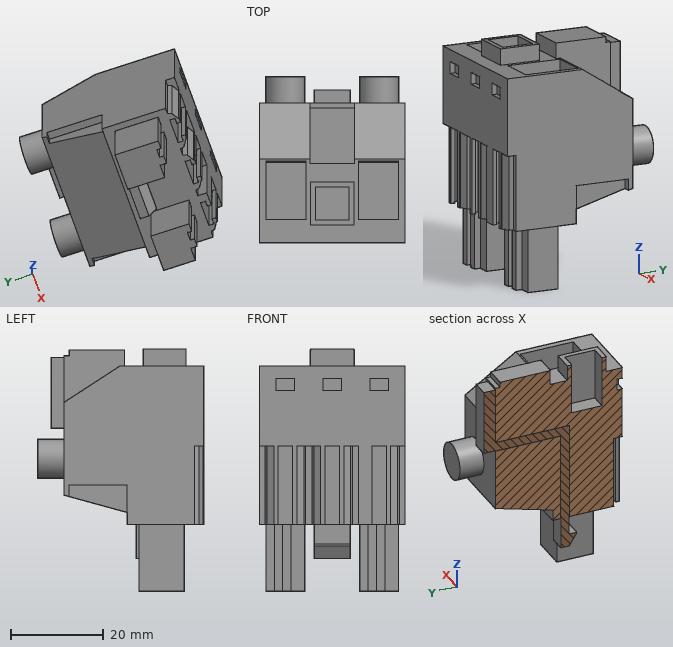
import cadquery as cq


PITCH = 10.16
SIDE_POLES = (-PITCH, PITCH)
ALL_POLES = (-PITCH, 0, PITCH)

WIDTH = 31.58
DEPTH = 30.3
HEIGHT = 34.38
TOP_SLOPE_START_Y = 18.1
TOP_SLOPE_END_Z = 26.45
FOOT_DEPTH = 16.6
REAR_SLOPE_LOW_Z = 2.6
REAR_SLOPE_HIGH_Z = 6.35

RECESS_WIDTH = 1.65
RECESS_TOP_Z = 8.56
LIP_THICKNESS = 1.1
RECESS_BACK_Y = DEPTH - LIP_THICKNESS

HEAD_WIDTH = 9.7
HEAD_FRONT_Y = 17.15
HEAD_BOTTOM_Z = 20.0
HEAD_TOP_Z = 37.85
HEAD_STEP_Z = 36.6

COLLAR_SIZE = 9.36
COLLAR_WALL = 1.1
COLLAR_CENTER_Y = 8.5
TOTAL_HEIGHT = 52.5
PRONG_LENGTH = 14.47
COLLAR_TOP_Z = TOTAL_HEIGHT - PRONG_LENGTH
COLLAR_HOLE_DEPTH = 12.0

POCKET_WIDTH = 8.7
POCKET_CENTER_X = 10.04
POCKET_FRONT_Y = 5.1
POCKET_BACK_Y = 17.68
POCKET_DRAFT = 0.25
POCKET_DEPTH = 15.0

WINDOW_WIDTH = 4.0
WINDOW_BOTTOM_Z = 29.05
WINDOW_HEIGHT = 2.6
WINDOW_DEPTH = 1.2

GROOVE_TOP_Z = 17.0
SLOT_WIDTH = 3.1
SLOT_LIP_DEPTH = 0.9
SLOT_INNER_WIDTH = 5.5
GROOVE_EDGE = 2.5
GROOVE_KNEE = 4.0
GROOVE_FLOOR = 4.37
GROOVE_EDGE_DEPTH = 0.2
GROOVE_KNEE_DEPTH = 1.1
GROOVE_DEPTH = 2.05
KEY_SIDE_X = 5.64

PRONG_WIDTH = 8.45
PRONG_FRONT_Y = 4.2
LEFT_PRONG_BACK_Y = 14.1
RIGHT_PRONG_BACK_Y = 12.9
FIN_WIDTH = 1.83
FIN_DEPTH = 0.95
PRONG_STEP_DEPTH = 1.45

SCREW_DIAMETER = 8.5
SCREW_Z = 14.27
SCREW_END_Y = 36.0

LATCH_WIDTH = 7.9
LATCH_BACK_Y = 14.65
LATCH_THICKNESS = 2.0
HOOK_LEDGE_Z = -4.24
HOOK_NOSE_Z = -4.6
HOOK_BOTTOM_Z = -7.35
HOOK_REACH = 1.75
BUTTON_BOTTOM_Z = 20.85
BUTTON_TOP_Z = 36.2
BUTTON_BACK_Y = 33.1


def box(x_range, y_range, z_range):
    """Box spanning the given (low, high) ranges."""
    size = [high - low for low, high in (x_range, y_range, z_range)]
    corner = (x_range[0], y_range[0], z_range[0])
    return cq.Workplane("XY").box(*size, centered=False).translate(corner)


def centered_range(center, width):
    return (center - width / 2, center + width / 2)


def side_profile(points, width):
    """Outline of (Y, Z) points extruded along X, centred on X = 0."""
    return cq.Workplane("YZ").polyline(points).close().extrude(width / 2, both=True)


def housing_shell():
    shell = side_profile(
        [
            (0, 0),
            (FOOT_DEPTH, 0),
            (FOOT_DEPTH, REAR_SLOPE_LOW_Z),
            (DEPTH, REAR_SLOPE_HIGH_Z),
            (DEPTH, TOP_SLOPE_END_Z),
            (TOP_SLOPE_START_Y, HEIGHT),
            (0, HEIGHT),
        ],
        WIDTH,
    )
    for side in (-1, 1):
        recess_x = centered_range(side * (WIDTH - RECESS_WIDTH) / 2, RECESS_WIDTH)
        shell = shell.cut(box(recess_x, (FOOT_DEPTH, RECESS_BACK_Y), (0, RECESS_TOP_Z)))
    return shell


def head():
    return side_profile(
        [
            (HEAD_FRONT_Y, HEAD_BOTTOM_Z),
            (DEPTH, HEAD_BOTTOM_Z),
            (DEPTH, HEAD_STEP_Z),
            (RECESS_BACK_Y, HEAD_STEP_Z),
            (RECESS_BACK_Y, HEAD_TOP_Z),
            (HEAD_FRONT_Y, HEAD_TOP_Z),
        ],
        HEAD_WIDTH,
    )


def square_column(size, bottom_z):
    """Square column on the collar axis, from bottom_z up to the collar top."""
    return box(
        centered_range(0, size),
        centered_range(COLLAR_CENTER_Y, size),
        (bottom_z, COLLAR_TOP_Z),
    )


def wire_pocket(side):
    floor_z = HEIGHT - POCKET_DEPTH
    outline = [
        (POCKET_FRONT_Y, floor_z),
        (POCKET_BACK_Y - POCKET_DRAFT, floor_z),
        (POCKET_BACK_Y, HEIGHT),
        (POCKET_FRONT_Y, HEIGHT),
    ]
    return side_profile(outline, POCKET_WIDTH).translate((side * POCKET_CENTER_X, 0, 0))


def front_window(pole_x):
    window_z = (WINDOW_BOTTOM_Z, WINDOW_BOTTOM_Z + WINDOW_HEIGHT)
    return box(centered_range(pole_x, WINDOW_WIDTH), (0, WINDOW_DEPTH), window_z)


def coding_slot(pole_x):
    """T-shaped slot that widens behind two thin lips."""
    slot_z = (0, GROOVE_TOP_Z)
    mouth = box(centered_range(pole_x, SLOT_WIDTH), (0, GROOVE_DEPTH), slot_z)
    return mouth.union(box(centered_range(pole_x, SLOT_INNER_WIDTH), (SLOT_LIP_DEPTH, GROOVE_DEPTH), slot_z))


def groove_wall(pole_x, side):
    """Points of a groove's stepped wall on one side of a pole, from the front face inwards."""
    return [
        (pole_x + side * GROOVE_EDGE, 0),
        (pole_x + side * GROOVE_EDGE, GROOVE_EDGE_DEPTH),
        (pole_x + side * GROOVE_KNEE, GROOVE_KNEE_DEPTH),
        (pole_x + side * GROOVE_FLOOR, GROOVE_DEPTH),
    ]


def coding_groove(left_wall, right_wall):
    outline = left_wall + right_wall[::-1]
    return cq.Workplane("XY").polyline(outline).close().extrude(GROOVE_TOP_Z)


def coding_grooves():
    """Outer grooves, the groove left of the middle pole, and the one narrowed by a key on its right."""
    left_side = [(-WIDTH / 2, 0), (-WIDTH / 2, GROOVE_DEPTH)]
    right_side = [(WIDTH / 2, 0), (WIDTH / 2, GROOVE_DEPTH)]
    key_side = [(KEY_SIDE_X, 0), (KEY_SIDE_X, GROOVE_DEPTH)]
    return [
        coding_groove(left_side, groove_wall(-PITCH, -1)),
        coding_groove(groove_wall(-PITCH, 1), groove_wall(0, -1)),
        coding_groove(groove_wall(0, 1), key_side),
        coding_groove(groove_wall(PITCH, 1), right_side),
    ]


def prong(pole_x, back_y):
    """Prong with two fins along its front face; the first fin is flush with its left side,
    and the face right of the second fin is stepped further back."""
    prong_z = (-PRONG_LENGTH, 0)
    core_front_y = PRONG_FRONT_Y + FIN_DEPTH
    body = box(centered_range(pole_x, PRONG_WIDTH), (core_front_y, back_y), prong_z)
    left_x = pole_x - PRONG_WIDTH / 2
    right_x = pole_x + PRONG_WIDTH / 2
    for fin_x in (left_x, left_x + 2 * FIN_WIDTH):
        body = body.union(box((fin_x, fin_x + FIN_WIDTH), (PRONG_FRONT_Y, core_front_y), prong_z))
    step_x = (left_x + 3 * FIN_WIDTH, right_x)
    return body.cut(box(step_x, (core_front_y, PRONG_FRONT_Y + PRONG_STEP_DEPTH), prong_z))


def build_latch():
    """One lever: hook, stem through the housing, arm to the back, and button."""
    stem_front_y = LATCH_BACK_Y - LATCH_THICKNESS
    nose_y = stem_front_y - HOOK_REACH
    arm_top_z = BUTTON_BOTTOM_Z + LATCH_THICKNESS
    return side_profile(
        [
            (LATCH_BACK_Y, HOOK_BOTTOM_Z),
            (LATCH_BACK_Y, BUTTON_BOTTOM_Z),
            (BUTTON_BACK_Y, BUTTON_BOTTOM_Z),
            (BUTTON_BACK_Y, BUTTON_TOP_Z),
            (DEPTH, BUTTON_TOP_Z),
            (DEPTH, arm_top_z),
            (stem_front_y, arm_top_z),
            (stem_front_y, HOOK_LEDGE_Z),
            (nose_y, HOOK_LEDGE_Z),
            (nose_y, HOOK_NOSE_Z),
            (stem_front_y, HOOK_BOTTOM_Z),
        ],
        LATCH_WIDTH,
    )


def build_screw(pole_x):
    """Screw end standing on the back face of the housing."""
    base = cq.Plane(origin=(pole_x, DEPTH, SCREW_Z), xDir=(1, 0, 0), normal=(0, 1, 0))
    return cq.Workplane(base).circle(SCREW_DIAMETER / 2).extrude(SCREW_END_Y - DEPTH)


def build_housing(latch):
    body = housing_shell().union(head()).union(square_column(COLLAR_SIZE, HEIGHT))
    for pole_x, prong_back_y in zip(SIDE_POLES, (LEFT_PRONG_BACK_Y, RIGHT_PRONG_BACK_Y)):
        body = body.union(prong(pole_x, prong_back_y))
    collar_hole = square_column(COLLAR_SIZE - 2 * COLLAR_WALL, COLLAR_TOP_Z - COLLAR_HOLE_DEPTH)
    cutters = [collar_hole, *coding_grooves()]
    cutters += [wire_pocket(side) for side in (-1, 1)]
    cutters += [front_window(pole_x) for pole_x in ALL_POLES]
    cutters += [coding_slot(pole_x) for pole_x in ALL_POLES]
    for cutter in cutters:
        body = body.cut(cutter)
    return body.cut(latch)


latch = build_latch()
housing = build_housing(latch)
screws = [build_screw(pole_x) for pole_x in SIDE_POLES]

result = cq.Compound.makeCompound([housing.val(), latch.val(), *[screw.val() for screw in screws]])